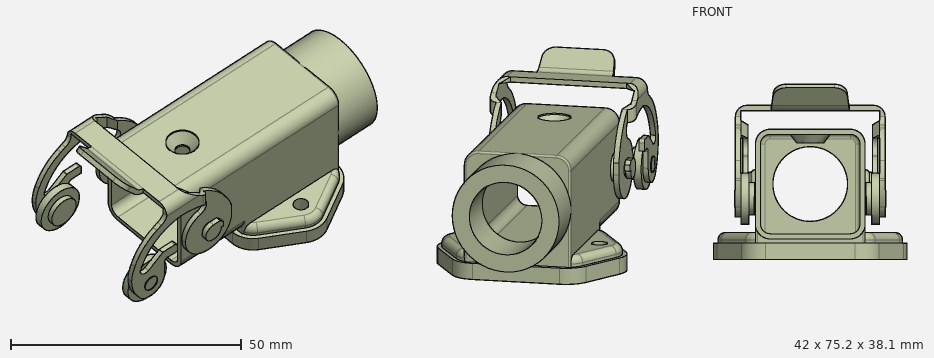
import cadquery as cq
import math


hood_width = 23.8
hood_bottom = 4.5
hood_top = hood_bottom + hood_width
axis_z = (hood_bottom + hood_top) / 2
hood_front = -32.0
hood_back = 14.0
hood_radius = 3.2
tube_end = 24.95
cable_bore_diameter = 16.15
wall = 1.1
back_wall = 1.2
cavity_round = 1.0
edge_round = 0.45

flange_width = 42.0
flange_depth = 30.4
flange_radius = 6.0
flange_thickness = 3.6
flange_slant = math.radians(30)
pad_inset = 1.0
pad_top = 5.95
pad_round = 1.65
mount_hole_x = 15.0
mount_hole_top = 3.4
mount_hole_bottom = 2.9

seat_y = -21.05
seat_radius = 3.6
seat_hole_radius = 1.65
seat_bottom = 25.3
seat_rim_depth = 0.3
seat_cone_depth = 2.25
seat_boss_top_radius = 4.35
seat_boss_bottom_radius = 2.9

sheet = 1.2
lever_width = 32.55
lever_half = lever_width / 2
disc_inner = 13.45
lever_top = 33.5
bend_radius = 2.55
joggle_radius = lever_half - sheet - disc_inner
joggle_start = -27.9
joggle_end = joggle_start - joggle_radius
pivot_y = -26.45
pivot_z = 16.5
pivot_disc_radius = 6.7
hook_y = -44.65
hook_z = 13.2
hook_end_radius = 4.0
lever_front = -50.2
bar_front = -40.0
bar_back = -34.3
bar_back_half = 12.9
bar_corner_back = -32.5
leg_inner = lever_half - sheet

boss_radius = 3.0
boss_round = 0.9
boss_end = 12.85
neck_radius = 2.5
pin_radius = 2.25
key_length = 2.85
key_chamfer = 0.9

roller_radius = 5.55
roller_inner = 13.3
hub_radius = 3.5
hub_inner = 12.1
rivet_radius = 1.8
rivet_end = 16.45

tab_angle = math.radians(48.5)
tab_bend_radius = 2.1
tab_straight = 5.2
tab_base_half = 8.6
tab_end_half = 7.8
tab_blank_length = 7.9
tab_corner = 2.85


def box(x0, x1, y0, y1, z0, z1):
    return cq.Workplane("XY").box(x1 - x0, y1 - y0, z1 - z0, centered=False).translate((x0, y0, z0))


def rod(radius, y, z, x0, x1):
    """Cylinder along X between two X positions."""
    return cq.Workplane("YZ", origin=(x0, y, z)).circle(radius).extrude(x1 - x0)


def cone(top_radius, bottom_radius, top, bottom, x, y):
    solid = cq.Solid.makeCone(bottom_radius, top_radius, top - bottom)
    return cq.Workplane("XY").add(solid.translate(cq.Vector(x, y, bottom)))


def hexagon(inset, bottom, top):
    """Six-sided plate with rounded corners, its outline moved inwards by inset."""
    radius = flange_radius - inset
    half_depth = flange_depth / 2 - inset
    side_distance = (flange_width / 2 - flange_radius) * math.cos(flange_slant) + radius
    tip_x = side_distance / math.cos(flange_slant)
    corner_x = (side_distance - half_depth * math.sin(flange_slant)) / math.cos(flange_slant)
    corners = [
        (tip_x, 0), (corner_x, half_depth), (-corner_x, half_depth),
        (-tip_x, 0), (-corner_x, -half_depth), (corner_x, -half_depth),
    ]
    plate = cq.Workplane("XY", origin=(0, 0, bottom)).polyline(corners).close().extrude(top - bottom)
    return plate.edges("|Z").fillet(radius)


def make_flange():
    pad = hexagon(pad_inset, flange_thickness, pad_top).faces(">Z").edges().fillet(pad_round)
    pad = pad.intersect(box(-flange_width, flange_width, -hood_back, hood_back, 0, pad_top))
    return hexagon(0, 0, flange_thickness).union(pad)


def make_hood():
    half = hood_width / 2
    hood = box(-half, half, hood_front, hood_back, hood_bottom, hood_top)
    hood = hood.edges("|Y").fillet(hood_radius).faces(">Y").edges().fillet(edge_round)
    pedestal = box(-half, half, -hood_back, hood_back, flange_thickness, axis_z)
    pedestal = pedestal.edges("|Z").fillet(edge_round)
    tube_length = tube_end - hood_back + edge_round
    tube = cq.Workplane("XZ", origin=(0, tube_end, axis_z)).circle(half).extrude(tube_length)
    return hood.union(pedestal).union(tube)


def make_cavity():
    """Square cavity, its rear edges rounded along the roof and sides but not along the floor."""
    half = hood_width / 2 - wall
    cavity_back = hood_back - back_wall
    inner_radius = hood_radius - wall
    cavity = box(-half, half, hood_front, cavity_back, hood_bottom + wall, hood_top - wall)
    cavity = cavity.edges("|Y").fillet(inner_radius)
    envelope = box(-half, half, hood_front, cavity_back, 0, hood_top - wall)
    envelope = envelope.edges("|Y and >Z").fillet(inner_radius).faces(">Y").edges().fillet(cavity_round)
    return cavity.intersect(envelope)


def add_screw_seat(hood):
    """Countersunk through hole with a tapered boss hanging below the roof."""
    cone_top = hood_top - seat_rim_depth
    boss = cone(seat_boss_top_radius, seat_boss_bottom_radius, hood_top - wall, seat_bottom, 0, seat_y)
    rim = cq.Workplane("XY", origin=(0, seat_y, cone_top)).circle(seat_radius).extrude(seat_rim_depth)
    countersink = cone(seat_radius, seat_hole_radius, cone_top, cone_top - seat_cone_depth, 0, seat_y)
    hole = cq.Workplane("XY", origin=(0, seat_y, seat_bottom)).circle(seat_hole_radius).extrude(wall)
    return hood.union(boss).cut(rim).cut(countersink).cut(hole)


def make_lever_arm_blank():
    """Side outline of the lever ahead of the joggle, swept over the full lever width."""
    profile = (
        cq.Workplane("YZ", origin=(-lever_half, 0, 0))
        .moveTo(joggle_start, 29.2)
        .lineTo(-30.3, 30.75)
        .lineTo(bar_back, lever_top)
        .lineTo(bar_front, lever_top)
        .lineTo(bar_front, 31.1)
        .threePointArc((-40.4, 30.15), (-41.65, 29.2))
        .lineTo(-42.9, 28.55)
        .threePointArc((-46.8, 25.55), (-49.3, 21.6))
        .threePointArc((lever_front, 17.2), (-48.25, 11.4))
        .threePointArc((hook_y, hook_z - hook_end_radius), (hook_y + hook_end_radius, hook_z))
        .lineTo(hook_y + hook_end_radius, 16.9)
        .threePointArc((-40.35, 17.6), (-39.8, 17.9))
        .lineTo(-37.0, 17.9)
        .lineTo(-37.0, 19.7)
        .threePointArc((-37.2, 20.2), (-37.7, 20.45))
        .lineTo(-41.2, 20.45)
        .lineTo(-45.3, 17.6)
        .threePointArc((-46.7, 17.5), (-47.7, 18.95))
        .threePointArc((-44.0, 24.8), (-36.0, 28.2))
        .threePointArc((-31.95, 27.8), (joggle_start, 26.3))
        .close()
    )
    return profile.extrude(lever_width)


def make_lever_section():
    """Bent-sheet section of the lever: two joggled legs joined by a bar across the top."""
    bend = joggle_radius * math.sqrt(0.5)
    joggle_center_x = disc_inner + sheet
    leg = (
        cq.Workplane("XY")
        .moveTo(lever_half, lever_front)
        .lineTo(lever_half, joggle_end)
        .threePointArc((joggle_center_x + bend, joggle_end + bend), (joggle_center_x, joggle_start))
        .lineTo(disc_inner, joggle_start)
        .lineTo(leg_inner, joggle_end)
        .lineTo(leg_inner, lever_front)
        .close()
        .extrude(lever_top)
    )
    bar_bottom = lever_top - sheet
    bridge = box(-lever_half, lever_half, lever_front, joggle_end, bar_bottom, lever_top)
    recess_corners = [
        (bar_back_half, bar_back), (leg_inner, bar_corner_back),
        (-leg_inner, bar_corner_back), (-bar_back_half, bar_back),
    ]
    recess = cq.Workplane("XY").polyline(recess_corners).close().extrude(lever_top)
    bridge = bridge.cut(recess).cut(box(-leg_inner, leg_inner, bar_corner_back, 0, 0, lever_top))
    envelope = box(-lever_half, lever_half, lever_front, 0, 0, lever_top)
    envelope = envelope.edges("|Y and >Z").fillet(bend_radius)
    return leg.union(leg.mirror("YZ")).union(bridge).intersect(envelope)


def make_pivot_plate():
    """Teardrop plate around the pivot, set closer to the hood than the lever arm."""
    disc_back = pivot_y + pivot_disc_radius
    return (
        cq.Workplane("YZ", origin=(disc_inner, 0, 0))
        .moveTo(joggle_start, 29.2)
        .threePointArc((-22.85, 25.0), (disc_back, 19.2))
        .lineTo(disc_back, pivot_z)
        .threePointArc((pivot_y, pivot_z - pivot_disc_radius), (pivot_y - pivot_disc_radius, pivot_z))
        .threePointArc((-31.3, 21.1), (-28.7, 22.55))
        .threePointArc((-27.05, 24.5), (joggle_start, 26.3))
        .close()
        .extrude(sheet)
    )


def make_pivot_pin():
    boss_start = (hood_width - wall) / 2
    boss = rod(boss_radius, pivot_y, pivot_z, boss_start, boss_end)
    boss = boss.faces(">X").edges().fillet(boss_round)
    neck = rod(neck_radius, pivot_y, pivot_z, boss_end, disc_inner)
    stem = rod(rivet_radius, pivot_y, pivot_z, disc_inner, leg_inner)
    head = rod(pin_radius, pivot_y, pivot_z, leg_inner, lever_half)
    key = box(leg_inner, lever_half, pivot_y, pivot_y + key_length, pivot_z, pivot_z + pin_radius)
    key = key.edges("|X and >Y and >Z").chamfer(key_chamfer)
    return boss.union(neck).union(stem).union(head).union(key)


def make_roller():
    roller = rod(roller_radius, hook_y, hook_z, roller_inner, leg_inner)
    hub = rod(hub_radius, hook_y, hook_z, hub_inner, roller_inner)
    rivet = rod(rivet_radius, hook_y, hook_z, roller_inner, rivet_end)
    return roller.union(hub).union(rivet)


def make_tab():
    """Finger tab bent upwards from the front edge of the lever bar."""
    def on_bend(radius, angle):
        return bar_front - radius * math.sin(angle), lever_top + tab_bend_radius - radius * math.cos(angle)

    outer_radius = tab_bend_radius + sheet
    run_y = -tab_straight * math.cos(tab_angle)
    run_z = tab_straight * math.sin(tab_angle)
    upper_y, upper_z = on_bend(tab_bend_radius, tab_angle)
    lower_y, lower_z = on_bend(outer_radius, tab_angle)
    strip = (
        cq.Workplane("YZ", origin=(-tab_base_half, 0, 0))
        .moveTo(bar_front, lever_top)
        .threePointArc(on_bend(tab_bend_radius, tab_angle / 2), (upper_y, upper_z))
        .lineTo(upper_y + run_y, upper_z + run_z)
        .lineTo(lower_y + run_y, lower_z + run_z)
        .lineTo(lower_y, lower_z)
        .threePointArc(on_bend(outer_radius, tab_angle / 2), (bar_front, lever_top - sheet))
        .close()
        .extrude(2 * tab_base_half)
    )
    blank_plane = cq.Plane(
        origin=(0, upper_y + run_y, upper_z + run_z),
        xDir=(1, 0, 0),
        normal=(0, math.sin(tab_angle), math.cos(tab_angle)),
    )
    tip = [(-tab_end_half, 0), (tab_end_half, 0)]
    base = [(tab_base_half, tab_blank_length), (-tab_base_half, tab_blank_length)]
    outline = cq.Sketch().polygon(tip + base + tip[:1]).vertices("<Y").fillet(tab_corner)
    blank = cq.Workplane(blank_plane).placeSketch(outline).extrude(tab_base_half, both=True)
    return strip.intersect(blank)


lever = make_lever_arm_blank().intersect(make_lever_section()).union(make_tab())
side_parts = make_pivot_plate().union(make_pivot_pin()).union(make_roller())

result = make_flange().union(make_hood()).cut(make_cavity())
result = add_screw_seat(result)
cable_bore = cq.Workplane("XZ", origin=(0, tube_end, axis_z)).circle(cable_bore_diameter / 2)
cable_bore = cable_bore.extrude(tube_end)
result = result.cut(cable_bore)
for side in (-1, 1):
    result = result.cut(cone(mount_hole_top / 2, mount_hole_bottom / 2, pad_top, 0, side * mount_hole_x, 0))
result = result.union(lever).union(side_parts).union(side_parts.mirror("YZ"))